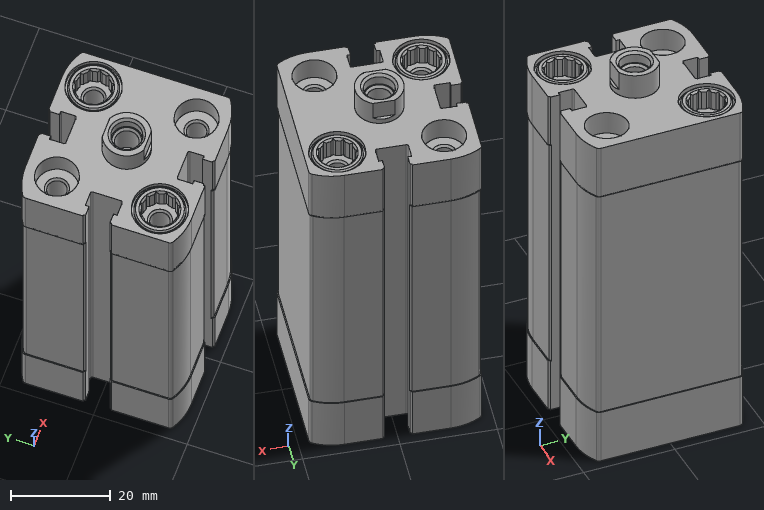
import cadquery as cq
import math

total_height = 82.5
body_width = 35.5
rod_projection = 5.5
cap_height = 12.0
tube_inset = 0.25
body_height = total_height - rod_projection

corner_arc_radius = 12.5
corner_fillet = 0.9

slot_opening = 5.2
slot_width = 6.8
slot_depth = 5.85
slot_lip = 2.5
slot_edge_fillet = 0.4
slot_floor_fillet = 0.4

screw_offset = 11.0
through_dia = 4.1
through_mouth_dia = 5.0
counterbore_dia = 9.0
counterbore_depth = 5.0

collar_recess_dia = 11.5
collar_recess_depth = 1.0
collar_dia = 10.5
collar_chamfer = 0.3
collar_drop = 0.2
socket_dia = 7.5
socket_mouth_dia = 8.4
socket_depth = 4.6
notch_count = 12
notch_tip_dia = 8.2
notch_half_angle = 7.0

rod_dia = 10.0
rod_flats = 8.9
flat_length = 4.1
ledge_drop = 0.25
rod_depth = cap_height
rod_mouth_dia = 7.5
rod_counterbore_dia = 6.4
rod_counterbore_depth = 2.55
rod_step_dia = 5.9
rod_drill_dia = 4.95
rod_drill_depth = 9.9
drill_half_angle = 59.0


def cone_height(outer_dia, inner_dia, half_angle=45.0):
    """Height of a cone between two diameters."""
    return (outer_dia - inner_dia) / 2 / math.tan(math.radians(half_angle))


def revolve_profile(points):
    """Solid of revolution about Z from (radius, z) points."""
    return cq.Workplane("XZ").polyline(points).close().revolve(360, (0, 0, 0), (0, 1, 0))


def disc(diameter, top, depth):
    """Upright cylinder reaching down from the height top."""
    return cq.Workplane("XY").workplane(offset=top - depth).circle(diameter / 2).extrude(depth)


def block(width, bottom, height):
    """Square prism whose front and back faces curve in towards the side faces."""
    half = width / 2
    tangent_x = screw_offset
    arc_center_y = half - corner_arc_radius

    def arc_y(x):
        return arc_center_y + math.sqrt(corner_arc_radius**2 - (x - tangent_x) ** 2)

    side_y = arc_y(half)
    mid_x = (tangent_x + half) / 2
    mid_y = arc_y(mid_x)
    outline = (
        cq.Workplane("XY")
        .workplane(offset=bottom)
        .moveTo(-tangent_x, half)
        .lineTo(tangent_x, half)
        .threePointArc((mid_x, mid_y), (half, side_y))
        .lineTo(half, -side_y)
        .threePointArc((mid_x, -mid_y), (tangent_x, -half))
        .lineTo(-tangent_x, -half)
        .threePointArc((-mid_x, -mid_y), (-half, -side_y))
        .lineTo(-half, side_y)
        .threePointArc((-mid_x, mid_y), (-tangent_x, half))
        .close()
        .extrude(height)
    )
    return outline.edges("|Z and (<X or >X)").fillet(corner_fillet)


def slot_cutter(width, bottom, height):
    """T-slot cutter for the -X side of a block, with flared rounds at the mouth."""
    face_x = -width / 2
    lip_x = -body_width / 2 + slot_lip
    floor_x = -body_width / 2 + slot_depth
    mouth = slot_opening / 2
    flare = slot_edge_fillet
    base = cq.Workplane("XY").workplane(offset=bottom)
    neck = (
        base.moveTo(face_x, mouth + flare)
        .radiusArc((face_x + flare, mouth), flare)
        .lineTo(lip_x, mouth)
        .lineTo(lip_x, -mouth)
        .lineTo(face_x + flare, -mouth)
        .radiusArc((face_x, -mouth - flare), flare)
        .close()
        .extrude(height)
    )
    chamber = base.center((lip_x + floor_x) / 2, 0).rect(floor_x - lip_x, slot_width).extrude(height)
    chamber = chamber.edges("|Z and >X").fillet(slot_floor_fillet)
    return neck.union(chamber)


def slotted_block(width, bottom, height):
    """Block with T-slots on the -X, -Y and +Y sides."""
    section = block(width, bottom, height)
    cutter = slot_cutter(width, bottom, height)
    for turn in (0, 90, -90):
        section = section.cut(cutter.rotate((0, 0, 0), (0, 0, 1), turn))
    return section


def through_hole(top):
    """Through hole with a conical mouth at the height top."""
    cone = cone_height(through_mouth_dia, through_dia)
    return revolve_profile([
        (0, 0),
        (through_dia / 2, 0),
        (through_dia / 2, top - cone),
        (through_mouth_dia / 2, top),
        (0, top),
    ])


def plain_screw_hole():
    """Through hole below a flat counterbore."""
    hole = through_hole(body_height - counterbore_depth)
    return hole.union(disc(counterbore_dia, body_height, counterbore_depth))


def notched_socket(top, depth):
    """Round socket with V notches all round its wall and a chamfered mouth."""
    half_angle = math.radians(notch_half_angle)
    root_radius = socket_dia / 2
    root_x = root_radius * math.cos(half_angle)
    root_y = root_radius * math.sin(half_angle)
    socket = disc(socket_dia, top, depth)
    notch = (
        cq.Workplane("XY")
        .workplane(offset=top - depth)
        .polyline([(0, 0), (root_x, -root_y), (notch_tip_dia / 2, 0), (root_x, root_y)])
        .close()
        .extrude(depth)
    )
    pitch = 360 / notch_count
    for i in range(notch_count):
        socket = socket.union(notch.rotate((0, 0, 0), (0, 0, 1), i * pitch))
    mouth_cone = revolve_profile([
        (0, top),
        (socket_mouth_dia / 2, top),
        (0, top - socket_mouth_dia / 2),
    ])
    return socket.union(mouth_cone)


def collar_screw_hole():
    """Ring recess around a chamfered collar that holds a notched socket."""
    collar_top = body_height - collar_drop
    floor = body_height - collar_recess_depth
    recess = disc(collar_recess_dia, body_height, collar_recess_depth)
    collar = disc(collar_dia, collar_top, collar_top - floor).faces(">Z").chamfer(collar_chamfer)
    cutter = recess.cut(collar)
    cutter = cutter.union(notched_socket(collar_top, socket_depth))
    return cutter.union(through_hole(collar_top - socket_depth))


def make_housing():
    tube_width = body_width - 2 * tube_inset
    housing = slotted_block(body_width, 0, cap_height)
    housing = housing.union(slotted_block(tube_width, cap_height, body_height - 2 * cap_height))
    housing = housing.union(slotted_block(body_width, body_height - cap_height, cap_height))

    plain_hole = plain_screw_hole()
    collar_hole = collar_screw_hole()
    for side in (-1, 1):
        place = side * screw_offset
        housing = housing.cut(plain_hole.translate((place, -place, 0)))
        housing = housing.cut(collar_hole.translate((place, place, 0)))
    return housing.cut(disc(rod_dia, body_height, rod_depth))


def rod_bore():
    """Chamfered counterbore and pointed drill hole down the rod axis."""
    mouth_cone = cone_height(rod_mouth_dia, rod_counterbore_dia)
    step_cone = cone_height(rod_step_dia, rod_drill_dia)
    point = cone_height(rod_drill_dia, 0, drill_half_angle)
    step_z = total_height - rod_counterbore_depth
    drill_z = total_height - rod_drill_depth
    return revolve_profile([
        (0, total_height),
        (rod_mouth_dia / 2, total_height),
        (rod_counterbore_dia / 2, total_height - mouth_cone),
        (rod_counterbore_dia / 2, step_z),
        (rod_step_dia / 2, step_z),
        (rod_drill_dia / 2, step_z - step_cone),
        (rod_drill_dia / 2, drill_z),
        (0, drill_z - point),
    ])


def make_rod():
    rod = disc(rod_dia, total_height, rod_projection + rod_depth)
    flat_y = rod_flats / 2
    outer_y = rod_dia / 2
    ledge_z = total_height - flat_length
    flat_cutter = (
        cq.Workplane("YZ")
        .polyline([
            (flat_y, total_height),
            (flat_y, ledge_z),
            (outer_y, ledge_z - ledge_drop),
            (outer_y, total_height),
        ])
        .close()
        .extrude(outer_y, both=True)
    )
    rod = rod.cut(flat_cutter).cut(flat_cutter.mirror("XZ"))
    return rod.cut(rod_bore())


housing = make_housing()
rod = make_rod()
result = cq.Compound.makeCompound([housing.val(), rod.val()])